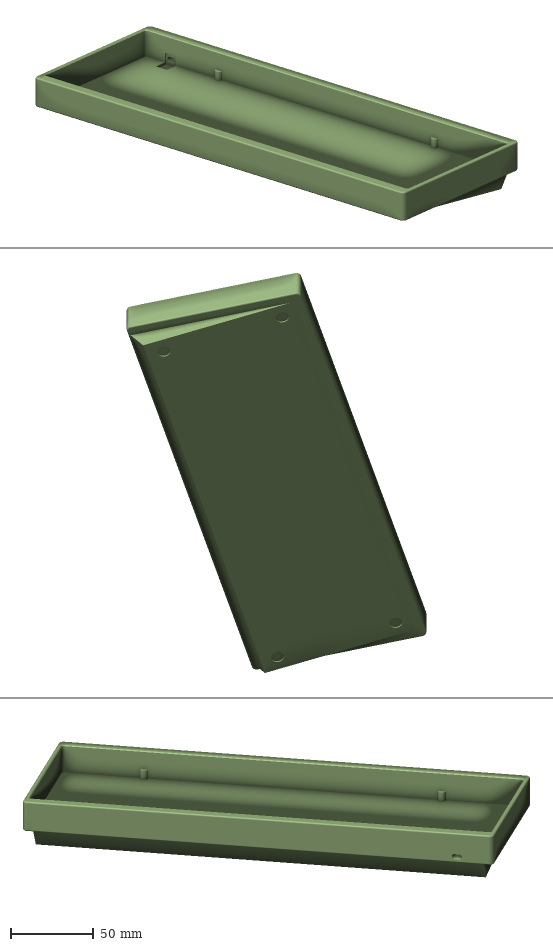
import cadquery as cq
import math

LENGTH = 293.7
WIDTH = 110.0
TOTAL_HEIGHT = 30.5
BODY_HEIGHT = 19.0
CORNER_RADIUS = 3.0
EDGE_FILLET = 1.0

END_WALL = 3.0
LONG_WALL = 7.0
CAVITY_DEPTH = 17.5
CAVITY_CORNER_RADIUS = 1.5
INNER_RIM_CHAMFER = 0.5

WEDGE_LENGTH = 280.5
WEDGE_TILT = 7.0
WEDGE_APEX_Y = 45.8
WEDGE_REAR_Y = 53.7

FOOT_DIAMETER = 8.0
FOOT_DEPTH = 1.0
FOOT_X = 130.7
FOOT_Y_POSITIONS = (-39.6, 35.2)

POST_RADIUS = 2.5
POST_HEIGHT = 6.0
REAR_POST_X = 85.8
FRONT_POST_X = 92.8

PORT_X = -124.2
RECESS_WIDTH = 8.8
RECESS_REACH = 8.5
RECESS_WALL_DEPTH = 1.0
RECESS_FLOOR_DEPTH = 1.8
RECESS_RISE = 6.5
RECESS_RADIUS = 1.2
TUNNEL_WIDTH = 6.5
TUNNEL_HEIGHT = 3.5

BODY_BOTTOM = TOTAL_HEIGHT - BODY_HEIGHT
FLOOR_Z = TOTAL_HEIGHT - CAVITY_DEPTH
CAVITY_LENGTH = LENGTH - 2 * END_WALL
CAVITY_WIDTH = WIDTH - 2 * LONG_WALL
WALL_Y = CAVITY_WIDTH / 2
TILT_SLOPE = math.tan(math.radians(WEDGE_TILT))


def make_body():
    """Rounded block that the tray is cut from."""
    block = cq.Workplane("XY", origin=(0, 0, BODY_BOTTOM)).rect(LENGTH, WIDTH).extrude(BODY_HEIGHT)
    return block.edges("|Z").fillet(CORNER_RADIUS).faces("|Z").edges().fillet(EDGE_FILLET)


def make_wedge():
    """Prism along X, with a straight top band that reaches into the body to join it."""
    front_y = WEDGE_APEX_Y - BODY_BOTTOM / TILT_SLOPE
    profile = [
        (WEDGE_APEX_Y, 0),
        (WEDGE_REAR_Y, BODY_BOTTOM),
        (WEDGE_REAR_Y, BODY_BOTTOM + EDGE_FILLET),
        (front_y, BODY_BOTTOM + EDGE_FILLET),
        (front_y, BODY_BOTTOM),
    ]
    return cq.Workplane("YZ").polyline(profile).close().extrude(WEDGE_LENGTH / 2, both=True)


def make_cavity():
    """Rounded pocket, flared by a small chamfer at the inner edge of the rim."""
    cavity = (
        cq.Workplane("XY", origin=(0, 0, FLOOR_Z))
        .rect(CAVITY_LENGTH, CAVITY_WIDTH)
        .extrude(CAVITY_DEPTH)
        .edges("|Z")
        .fillet(CAVITY_CORNER_RADIUS)
    )
    flare = (
        cavity.faces(">Z")
        .wires()
        .toPending()
        .workplane()
        .offset2D(INNER_RIM_CHAMFER)
        .extrude(-INNER_RIM_CHAMFER, combine=False, taper=45)
    )
    return cavity.union(flare)


def make_foot_recess(x, y):
    """Shallow disc sunk square to the sloped underside."""
    center = cq.Vector(x, y, (WEDGE_APEX_Y - y) * TILT_SLOPE)
    inward = cq.Vector(0, TILT_SLOPE, 1)
    return cq.Workplane(cq.Solid.makeCylinder(FOOT_DIAMETER / 2, FOOT_DEPTH, center, inward))


def make_post(x, wall_y):
    """Upright cylinder half buried in a long wall."""
    return cq.Workplane("XY", origin=(x, wall_y, FLOOR_Z)).circle(POST_RADIUS).extrude(POST_HEIGHT)


def make_port():
    """Connector recess plus a round-ended tunnel through the rear wall."""
    recess_height = RECESS_FLOOR_DEPTH + RECESS_RISE
    recess_length = RECESS_REACH + RECESS_WALL_DEPTH
    recess_bottom = FLOOR_Z - RECESS_FLOOR_DEPTH
    recess_mid_z = recess_bottom + recess_height / 2
    recess_back_y = WALL_Y + RECESS_WALL_DEPTH
    recess = (
        cq.Workplane("XY")
        .box(RECESS_WIDTH, recess_length, recess_height)
        .edges("|Y and >Z")
        .fillet(RECESS_RADIUS)
        .translate((PORT_X, recess_back_y - recess_length / 2, recess_mid_z))
    )
    tunnel = (
        cq.Workplane("XZ", origin=(PORT_X, recess_back_y, recess_mid_z))
        .slot2D(TUNNEL_WIDTH, TUNNEL_HEIGHT)
        .extrude(-LONG_WALL)
    )
    return recess.union(tunnel)


result = make_body().union(make_wedge()).cut(make_cavity())

for foot_x in (-FOOT_X, FOOT_X):
    for foot_y in FOOT_Y_POSITIONS:
        result = result.cut(make_foot_recess(foot_x, foot_y))

for direction in (-1, 1):
    result = result.union(make_post(direction * REAR_POST_X, WALL_Y))
    result = result.union(make_post(direction * FRONT_POST_X, -WALL_Y))

result = result.cut(make_port())